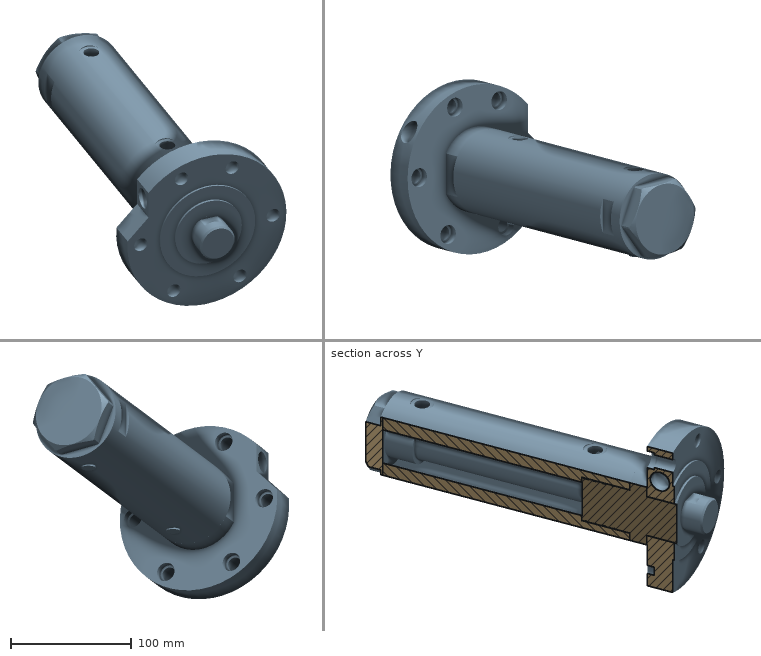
import cadquery as cq
import math


overall_length = 310.52
rod_projection = 19.75
pilot_height = 1.75
gland_lip = 2.0
flange_thickness = 24.0
hex_height = 14.2
collar_thickness = 2.0

gland_end_x = overall_length - rod_projection
flange_end_x = gland_end_x - gland_lip - pilot_height
flange_start_x = flange_end_x - flange_thickness
neck_length = 16.0
tube_start_x = hex_height + collar_thickness
tube_end_x = flange_start_x - neck_length
cap_port_x = 41.3
gland_port_x = 202.9
nose_end_x = 42.3
gland_start_x = 202.4

tube_radius = 36.5
bore_radius = 28.0
gland_seat_radius = 31.0
tube_flat_half_width = 33.5
tube_flat_length = 15.0
tube_flat_x = 26.4
port_diameter = 13.2
spot_face_diameter = 20.0
spot_face_depth = 1.0
boss_diameter = 12.0
boss_reach = 37.5
boss_positions_x = (40.0, 211.3)

hex_across_flats = 60.6
hex_corner_radius = 34.6
hex_rotation = 7.3
hex_chamfer_length = 3.6
hex_face_radius = 30.0
nose_radius = 20.0

gland_radius = 30.0
neck_flat_half_width = 32.2

rod_radius = 15.75
rod_flat_half_width = 13.75
rod_flat_length = 10.0
rod_chamfer = 1.5

flange_radius = 72.0
pilot_radius = 43.0
notch_depth_y = 53.0
notch_corner_z = 6.0
cross_hole_diameter = 17.5
cross_hole_z = 37.0
bolt_circle_radius = 60.0
bolt_angles = (0, 67.5, 112.5, 180, 240, 300)
bolt_hole_diameter = 12.0
bolt_recess_diameter = 16.0
bolt_recess_depth = 6.5


def cylinder(radius, start_x, end_x):
    """Solid cylinder on the main axis between two stations."""
    return cq.Workplane("YZ", origin=(start_x, 0, 0)).circle(radius).extrude(end_x - start_x)


def upright_cylinder(diameter, x, bottom_z, top_z):
    """Solid cylinder along Z, centred over the main axis at the given X."""
    return cq.Workplane("XY", origin=(x, 0, bottom_z)).circle(diameter / 2).extrude(top_z - bottom_z)


def outside_flats(axis, half_width, start_x, length):
    """Two blocks lying outside +/- half_width along the axis 'Y' or 'Z', for cutting wrench flats."""
    depth = tube_radius
    blocks = cq.Workplane()
    for side in (-1, 1):
        offset = side * (half_width + depth / 2)
        if axis == "Y":
            size_y, size_z = depth, 2 * tube_radius
            centre = (start_x + length / 2, offset, 0)
        else:
            size_y, size_z = 2 * tube_radius, depth
            centre = (start_x + length / 2, 0, offset)
        blocks = blocks.add(cq.Workplane().box(length, size_y, size_z).translate(centre))
    return blocks.combine()


def make_cap():
    """Hex-headed cap with a round collar and a nose that reaches to the first port."""
    hex_corner_diameter = hex_across_flats / math.cos(math.pi / 6)
    head = (
        cq.Workplane("YZ")
        .transformed(rotate=(0, 0, -hex_rotation))
        .polygon(6, hex_corner_diameter)
        .extrude(hex_height)
    )
    turned_profile = (
        cq.Workplane("XY")
        .moveTo(0, 0)
        .lineTo(0, hex_face_radius)
        .lineTo(hex_chamfer_length, hex_corner_radius)
        .lineTo(hex_height, hex_corner_radius)
        .lineTo(hex_height, 0)
        .close()
        .revolve(360, (0, 0, 0), (1, 0, 0))
    )
    collar = cylinder(tube_radius, hex_height, tube_start_x)
    nose = cylinder(nose_radius, tube_start_x, nose_end_x)
    return head.intersect(turned_profile).union(collar).union(nose)


def make_tube():
    """Barrel with two spot-faced ports on top, two bosses below and a pair of wrench flats."""
    tube = cylinder(tube_radius, tube_start_x, tube_end_x)
    for x in boss_positions_x:
        tube = tube.union(upright_cylinder(boss_diameter, x, -boss_reach, 0))
    tube = tube.cut(cylinder(bore_radius, tube_start_x, tube_end_x))
    tube = tube.cut(cylinder(gland_seat_radius, gland_start_x, tube_end_x))
    tube = tube.cut(outside_flats("Y", tube_flat_half_width, tube_flat_x, tube_flat_length))
    for x in (cap_port_x, gland_port_x):
        tube = tube.cut(upright_cylinder(port_diameter, x, 0, tube_radius))
        tube = tube.cut(upright_cylinder(spot_face_diameter, x, tube_radius - spot_face_depth, tube_radius))
    return tube


def make_gland():
    """Rod guide: spigot seated in the tube, flatted neck, and a sleeve through the flange."""
    spigot = cylinder(gland_seat_radius, gland_start_x, tube_end_x)
    neck = cylinder(tube_radius, tube_end_x, flange_start_x)
    neck = neck.cut(outside_flats("Y", neck_flat_half_width, tube_end_x, neck_length))
    sleeve = cylinder(gland_radius, flange_start_x, gland_end_x)
    rod_bore = cylinder(rod_radius, gland_start_x, gland_end_x)
    return spigot.union(neck).union(sleeve).cut(rod_bore)


def make_rod():
    """Plain rod from the cap's nose to the outer end, with a flatted and chamfered tip."""
    rod = cylinder(rod_radius, nose_end_x, overall_length).faces(">X").chamfer(rod_chamfer)
    return rod.cut(outside_flats("Z", rod_flat_half_width, gland_end_x, rod_flat_length))


def make_flange():
    """Notched round flange with a pilot ring, six recessed bolt holes and a cross hole."""
    plate = cylinder(flange_radius, flange_start_x, flange_end_x)

    rim_y = math.sqrt(flange_radius**2 - notch_corner_z**2)
    wall_foot_z = notch_corner_z + rim_y - notch_depth_y
    notch = (
        cq.Workplane("YZ", origin=(flange_start_x, 0, 0))
        .moveTo(-notch_depth_y, flange_radius)
        .lineTo(-notch_depth_y, wall_foot_z)
        .lineTo(-rim_y, notch_corner_z)
        .lineTo(-flange_radius, notch_corner_z)
        .lineTo(-flange_radius, flange_radius)
        .close()
        .extrude(flange_thickness)
    )
    flange = plate.cut(notch)

    cross_hole = (
        cq.Workplane("XZ", origin=(flange_start_x + flange_thickness / 2, 0, cross_hole_z))
        .circle(cross_hole_diameter / 2)
        .extrude(flange_radius, both=True)
    )
    flange = flange.cut(cross_hole)

    for angle in bolt_angles:
        y = bolt_circle_radius * math.cos(math.radians(angle))
        z = bolt_circle_radius * math.sin(math.radians(angle))
        hole = cylinder(bolt_hole_diameter / 2, flange_start_x, flange_end_x)
        recess = cylinder(bolt_recess_diameter / 2, flange_start_x, flange_start_x + bolt_recess_depth)
        flange = flange.cut(hole.union(recess).translate((0, y, z)))

    pilot = cylinder(pilot_radius, flange_end_x, flange_end_x + pilot_height)
    return flange.union(pilot).cut(cylinder(gland_radius, flange_start_x, gland_end_x))


cap = make_cap()
tube = make_tube()
gland = make_gland()
rod = make_rod()
flange = make_flange()

result = cq.Compound.makeCompound([cap.val(), tube.val(), gland.val(), rod.val(), flange.val()])